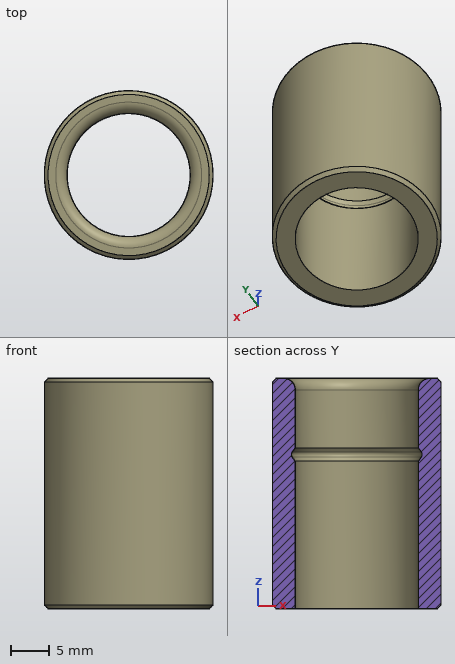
import cadquery as cq
import math

length = 30.0
outer_diameter = 22.0
bore_diameter = 16.0
edge_chamfer = 0.5
mouth_radius = 1.5

groove_top_depth = 9.05
groove_width = 1.75
flank_height = 0.55
flank_depth = 0.4

outer_radius = outer_diameter / 2
bore_radius = bore_diameter / 2


def chamfered_sleeve():
    """Plain tube with both outer rims chamfered and the upper bore mouth rounded."""
    body = cq.Workplane("XY").circle(outer_radius).extrude(length)
    body = body.faces("<Z or >Z").edges().chamfer(edge_chamfer)
    body = body.cut(cq.Workplane("XY").circle(bore_radius).extrude(length))
    return body.faces(">Z").edges(cq.selectors.RadiusNthSelector(0)).fillet(mouth_radius)


def bore_groove():
    """Ring-shaped cutter for the round-bottomed groove."""
    top = length - groove_top_depth
    bottom = top - groove_width
    middle = (top + bottom) / 2
    flank_end_radius = bore_radius + flank_depth
    half_chord = groove_width / 2 - flank_height
    flank_angle = math.atan2(flank_depth, flank_height)
    arc_rise = half_chord * math.tan(flank_angle / 2)
    profile = (
        cq.Workplane("XZ")
        .moveTo(bore_radius - flank_depth, bottom)
        .lineTo(bore_radius, bottom)
        .lineTo(flank_end_radius, bottom + flank_height)
        .threePointArc((flank_end_radius + arc_rise, middle), (flank_end_radius, top - flank_height))
        .lineTo(bore_radius, top)
        .lineTo(bore_radius - flank_depth, top)
        .close()
    )
    return profile.revolve(360, (0, 0, 0), (0, 1, 0))


result = chamfered_sleeve().cut(bore_groove())